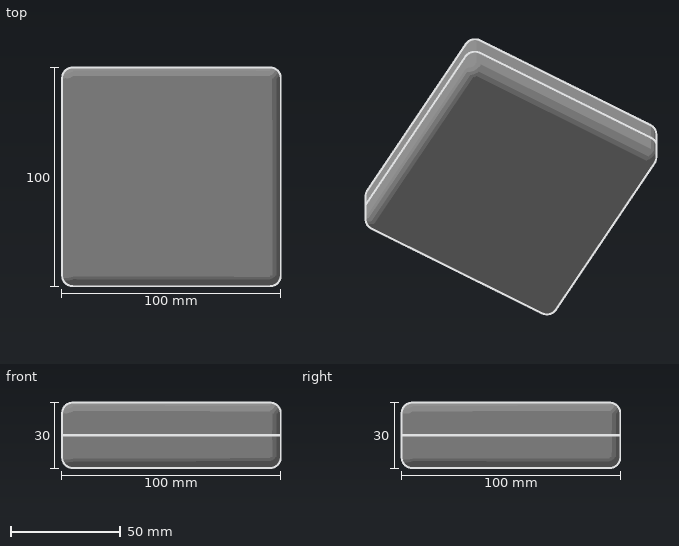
import cadquery as cq

side_length = 100.0
total_height = 30.0
edge_radius = 5.0

parting_gap = 0.1
half_height = (total_height - parting_gap) / 2
lid_bottom_z = half_height + parting_gap


def make_half_block(bottom_z):
    """Plain square block of half the box height, standing on bottom_z."""
    return (
        cq.Workplane("XY", origin=(0, 0, bottom_z))
        .box(side_length, side_length, half_height, centered=(True, True, False))
    )


def make_base():
    """Lower half: flat on top, with rounded corners and a rounded bottom rim."""
    return make_half_block(0).edges("|Z or <Z").fillet(edge_radius)


def make_lid():
    """Upper half: flat underneath, with rounded corners and a rounded top rim."""
    return make_half_block(lid_bottom_z).edges("|Z or >Z").fillet(edge_radius)


base = make_base()
lid = make_lid()

result = cq.Compound.makeCompound([base.val(), lid.val()])